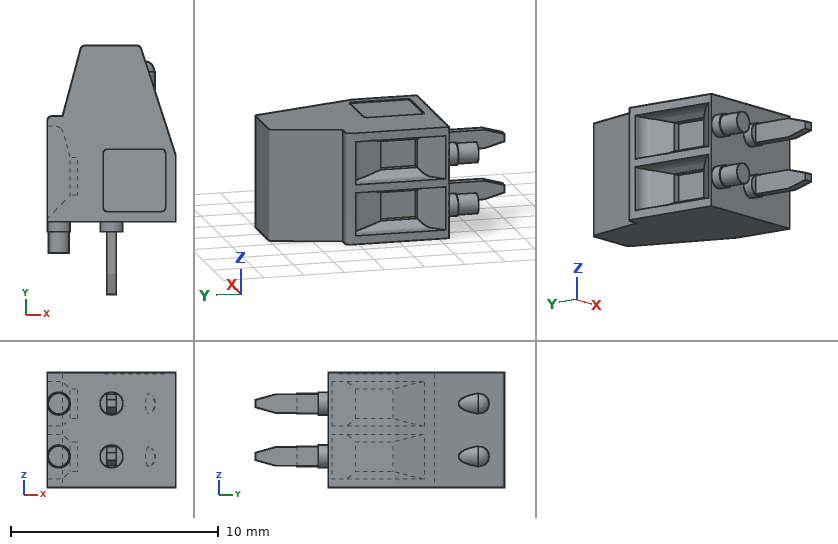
import cadquery as cq
import math


WIDTH = 6.2
DEPTH = 8.5
PITCH = 2.54
POLE_COUNT = 2
HEIGHT = 5.54
LEDGE_Y = 5.1
LEDGE_LENGTH = 0.74
LEFT_SLOPE_ANGLE = 15.0
RIGHT_SLOPE_ANGLE = 18.0
RIGHT_SLOPE_Y = 3.2
EDGE_RADIUS = 0.25

FIRST_POLE_Z = (HEIGHT - (POLE_COUNT - 1) * PITCH) / 2
POLE_HEIGHTS = [FIRST_POLE_Z + i * PITCH for i in range(POLE_COUNT)]

FUNNEL_FRONT_Y = 0.17
FUNNEL_BACK_Y = 4.63
FUNNEL_HEIGHT = 2.14
FUNNEL_DEPTH = 1.1
FUNNEL_RADIUS = 0.5
BACK_SLOPE_ANGLE = 15.0
CONTACT_FRONT_Y = 1.3
CONTACT_BACK_Y = 3.11
CONTACT_HEIGHT = 1.41
CONTACT_DEPTH = 0.35

COLLAR_RADIUS = 0.55
COLLAR_LENGTH = 0.48
PEG_X = 0.56
PEG_RADIUS = 0.5
PEG_LENGTH = 1.5
PIN_X = PEG_X + PITCH
PIN_THICKNESS = 0.48
PIN_WIDTH = 0.92
PIN_TIP_WIDTH = 0.36
PIN_LENGTH = 3.5
PIN_TAPER_LENGTH = 1.0

POST_RADIUS = 0.55
POST_X = 4.65
POST_BASE_Y = 5.0
POST_SHOULDER_Y = 7.23
DOME_RADIUS = 0.52

LABEL_SIZE = 3.0
LABEL_MARGIN = 0.5
LABEL_RADIUS = 0.2
LABEL_DEPTH = 0.06


def tangent(angle):
    return math.tan(math.radians(angle))


def make_housing():
    top_left_x = LEDGE_LENGTH + (DEPTH - LEDGE_Y) * tangent(LEFT_SLOPE_ANGLE)
    top_right_x = WIDTH - (DEPTH - RIGHT_SLOPE_Y) * tangent(RIGHT_SLOPE_ANGLE)
    outline = [
        (0, 0),
        (WIDTH, 0),
        (WIDTH, RIGHT_SLOPE_Y),
        (top_right_x, DEPTH),
        (top_left_x, DEPTH),
        (LEDGE_LENGTH, LEDGE_Y),
        (0, LEDGE_Y),
    ]
    block = cq.Workplane("XY").polyline(outline).close().extrude(HEIGHT)
    rounded_corners = [(0, LEDGE_Y), (top_left_x, DEPTH), (top_right_x, DEPTH)]
    for x, y in rounded_corners:
        corner = cq.selectors.NearestToPointSelector((x, y, HEIGHT / 2))
        block = block.edges(corner).fillet(EDGE_RADIUS)
    return block


def make_funnel(z):
    """Wire entry: a tapered mouth and a shallow rectangular contact window."""
    back_turn_x = FUNNEL_DEPTH - (FUNNEL_BACK_Y - CONTACT_BACK_Y) * tangent(BACK_SLOPE_ANGLE)
    plan = [
        (0, FUNNEL_FRONT_Y),
        (FUNNEL_DEPTH, CONTACT_FRONT_Y),
        (FUNNEL_DEPTH, CONTACT_BACK_Y),
        (back_turn_x, FUNNEL_BACK_Y),
        (0, FUNNEL_BACK_Y),
    ]
    plan_body = cq.Workplane("XY").polyline(plan).close().extrude(FUNNEL_HEIGHT / 2, both=True)
    back_turn = cq.selectors.NearestToPointSelector((back_turn_x, FUNNEL_BACK_Y, 0))
    plan_body = plan_body.edges(back_turn).fillet(FUNNEL_RADIUS)

    half_mouth = FUNNEL_HEIGHT / 2
    half_window = CONTACT_HEIGHT / 2
    side_turn_x = FUNNEL_DEPTH - (half_mouth - half_window)
    section = [
        (0, -half_mouth),
        (side_turn_x, -half_mouth),
        (FUNNEL_DEPTH, -half_window),
        (FUNNEL_DEPTH, half_window),
        (side_turn_x, half_mouth),
        (0, half_mouth),
    ]
    section_body = cq.Workplane("XZ").polyline(section).close().extrude(-FUNNEL_BACK_Y)
    for turn_z in (-half_mouth, half_mouth):
        side_turn = cq.selectors.NearestToPointSelector((side_turn_x, FUNNEL_BACK_Y / 2, turn_z))
        section_body = section_body.edges(side_turn).fillet(FUNNEL_RADIUS)

    window = cq.Workplane("XY").box(
        FUNNEL_DEPTH + CONTACT_DEPTH,
        CONTACT_BACK_Y - CONTACT_FRONT_Y,
        CONTACT_HEIGHT,
        centered=(False, False, True),
    ).translate((0, CONTACT_FRONT_Y, 0))
    return plan_body.intersect(section_body).union(window).translate((0, 0, z))


def make_rod(x, z, radius, start_y, end_y):
    """Round rod along Y; start_y is below end_y."""
    rod = cq.Workplane("XZ").circle(radius).extrude(start_y - end_y)
    return rod.translate((x, start_y, z))


def make_peg(z):
    collar = make_rod(PEG_X, z, COLLAR_RADIUS, -COLLAR_LENGTH, 0)
    return collar.union(make_rod(PEG_X, z, PEG_RADIUS, -PEG_LENGTH, 0))


def make_pin(z):
    taper_y = PIN_TAPER_LENGTH - PIN_LENGTH
    outline = [
        (0, -PIN_WIDTH / 2),
        (taper_y, -PIN_WIDTH / 2),
        (-PIN_LENGTH, -PIN_TIP_WIDTH / 2),
        (-PIN_LENGTH, PIN_TIP_WIDTH / 2),
        (taper_y, PIN_WIDTH / 2),
        (0, PIN_WIDTH / 2),
    ]
    blade = cq.Workplane("YZ").polyline(outline).close().extrude(PIN_THICKNESS / 2, both=True)
    collar = make_rod(PIN_X, z, COLLAR_RADIUS, -COLLAR_LENGTH, 0)
    return collar.union(blade.translate((PIN_X, 0, z)))


def make_post(z):
    post = make_rod(POST_X, z, POST_RADIUS, POST_BASE_Y, POST_SHOULDER_Y)
    dome = cq.Workplane("XY").sphere(DOME_RADIUS).translate((POST_X, POST_SHOULDER_Y, z))
    return post.union(dome)


def make_label_recess():
    center = LABEL_MARGIN + LABEL_SIZE / 2
    recess = cq.Workplane("XY").rect(LABEL_SIZE, LABEL_SIZE).extrude(LABEL_DEPTH)
    recess = recess.edges("|Z").fillet(LABEL_RADIUS)
    return recess.translate((WIDTH - center, center, HEIGHT - LABEL_DEPTH))


result = make_housing().cut(make_label_recess())
for pole_z in POLE_HEIGHTS:
    result = result.cut(make_funnel(pole_z))
    result = result.union(make_peg(pole_z))
    result = result.union(make_pin(pole_z))
    result = result.union(make_post(pole_z))